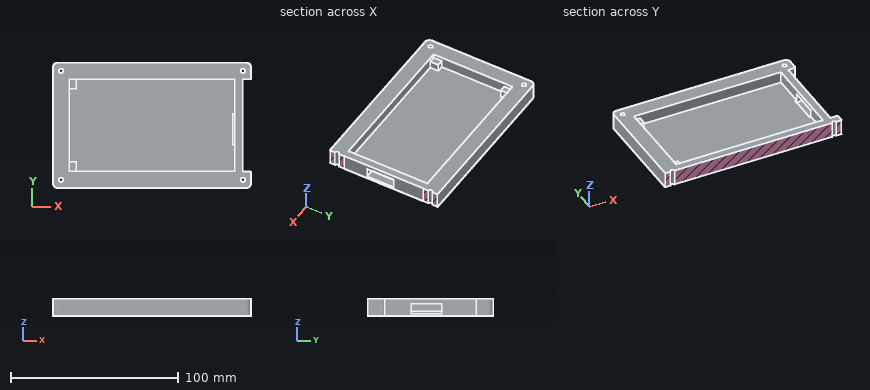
import cadquery as cq

length = 118.5
width = 75.0
height = 10.5
corner_diameter = 6.0

rim = 10.0
floor_thickness = 3.0
pocket_length = length - 2 * rim
pocket_width = 54.9
pocket_end = pocket_length / 2

notch_depth = rim / 2
notch_corner_radius = 1.0

hole_diameter = 2.5
hole_inset = rim / 2

pad_length = 4.0
pad_width = 5.7
pad_height = 5.0

window_width = 18.4
window_height = 5.9
window_center_y = -2.4
window_sink = 1.4
window_inset = 1.0


def box_from(x_min, y_center, z_min, x_size, y_size, z_size):
    """Box starting at x_min and z_min, centred on y_center."""
    return (
        cq.Workplane("XY")
        .box(x_size, y_size, z_size, centered=(False, True, False))
        .translate((x_min, y_center, z_min))
    )


def make_body():
    """Rounded block with a full-height notch in its +X end."""
    block = cq.Workplane("XY").box(length, width, height, centered=(True, True, False))
    block = block.edges("|Z").fillet(corner_diameter / 2)
    notch = box_from(length / 2 - notch_depth, 0, 0, notch_depth, pocket_width, height)
    notched = block.cut(notch)
    ear_corners = cq.selectors.BoxSelector(
        (length / 2 - notch_depth / 2, -pocket_width / 2 - notch_corner_radius, 0),
        (length / 2 + notch_depth, pocket_width / 2 + notch_corner_radius, height),
    )
    return notched.edges("|Z").edges(ear_corners).fillet(notch_corner_radius)


def make_pads():
    """Two pads in the pocket corners at the -X end."""
    pads = cq.Workplane("XY")
    for side in (-1, 1):
        pad_y = side * (pocket_width - pad_width) / 2
        pads = pads.add(box_from(-pocket_end, pad_y, floor_thickness, pad_length, pad_width, pad_height))
    return pads.combine()


def make_holes():
    """Four through holes, one near each corner."""
    return (
        cq.Workplane("XY")
        .rect(length - 2 * hole_inset, width - 2 * hole_inset, forConstruction=True)
        .vertices()
        .circle(hole_diameter / 2)
        .extrude(height)
    )


pocket = box_from(-pocket_end, 0, floor_thickness, pocket_length, pocket_width, height - floor_thickness)
window = box_from(
    pocket_end - window_inset,
    window_center_y,
    floor_thickness - window_sink,
    window_inset + rim - notch_depth,
    window_width,
    window_height,
)

result = make_body().cut(pocket).union(make_pads()).cut(make_holes()).cut(window)